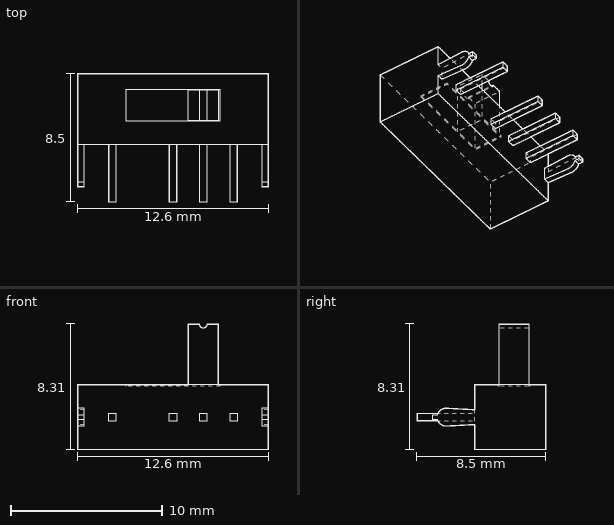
import cadquery as cq

body_length = 12.6
body_depth = 4.7
body_height = 4.3
front_y = -body_depth / 2
lead_z = body_height / 2

pitch = 2.0
slider_side = 2.0
slider_height = 4.01
slider_x = pitch
slider_y = 0.25
window_length = 6.2
window_width = 2.1
window_depth = 0.1
notch_radius = 0.25

pin_side = 0.5
pin_length = 3.8
pin_positions = [-2 * pitch, 0, pitch, 2 * pitch]

tab_thickness = 0.43
tab_root_width = 1.0
tab_head_width = 1.2
tab_taper_length = 1.89
tab_length = 2.8
tab_tip_width = 0.3


def make_housing():
    """Rectangular housing with the slider window sunk into its top."""
    housing = cq.Workplane("XY").box(body_length, body_depth, body_height, centered=(True, True, False))
    window = (
        cq.Workplane("XY", origin=(0, slider_y, body_height - window_depth))
        .rect(window_length, window_width)
        .extrude(window_depth)
    )
    return housing.cut(window)


def make_slider():
    """Square post standing on the window floor, with a round groove across its top."""
    top_z = body_height + slider_height
    post = (
        cq.Workplane("XY", origin=(slider_x, slider_y, body_height - window_depth))
        .rect(slider_side, slider_side)
        .extrude(slider_height + window_depth)
    )
    groove = (
        cq.Workplane("XZ", origin=(slider_x, slider_y + slider_side / 2, top_z))
        .circle(notch_radius)
        .extrude(slider_side)
    )
    return post.cut(groove)


def make_pin(x):
    """Square pin pointing toward -Y."""
    return cq.Workplane("XZ", origin=(x, front_y, lead_z)).rect(pin_side, pin_side).extrude(pin_length)


def make_tab(inner_x):
    """Tab that widens to a round head and ends in a narrow tip."""
    head_radius = tab_head_width / 2
    head_y = front_y - tab_taper_length
    root_half = tab_root_width / 2
    blade = (
        cq.Workplane("YZ", origin=(inner_x, 0, lead_z))
        .moveTo(front_y, root_half)
        .lineTo(head_y, head_radius)
        .threePointArc((head_y - head_radius, 0), (head_y, -head_radius))
        .lineTo(front_y, -root_half)
        .close()
        .extrude(tab_thickness)
    )
    tip_length = tab_length - tab_taper_length
    tip = (
        cq.Workplane("YZ", origin=(inner_x, head_y - tip_length / 2, lead_z))
        .rect(tip_length, tab_tip_width)
        .extrude(tab_thickness)
    )
    return blade.union(tip)


result = make_housing().union(make_slider())
for pin_x in pin_positions:
    result = result.union(make_pin(pin_x))
for tab_x in (-body_length / 2, body_length / 2 - tab_thickness):
    result = result.union(make_tab(tab_x))